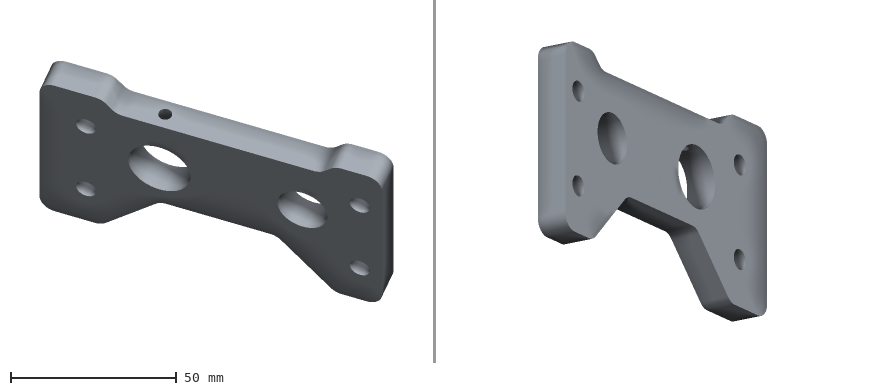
import cadquery as cq

length = 110.0
thickness = 10.0
height = 60.0
half_length = length / 2
half_height = height / 2

upper_recess_depth = 5.0
lower_recess_depth = 18.9
left_foot_width = 19.8
right_foot_width = 15.0
corner_radius = 5.0

mount_diameter = 6.5
mount_left_x = -40.0
mount_right_x = 48.0
mount_offset_z = 15.0

bore_z = 5.0
large_bore_x = -16.5
large_bore_diameter = 20.0
small_bore_x = 29.5
small_bore_diameter = 16.1
cross_hole_diameter = 4.2


def make_plate():
    """Rounded plate with a sloped recess in each long edge."""
    left_foot_x = -half_length + left_foot_width
    right_foot_x = half_length - right_foot_width
    upper_recess_z = half_height - upper_recess_depth
    lower_recess_z = -half_height + lower_recess_depth
    outline = [
        (-half_length, -half_height),
        (left_foot_x, -half_height),
        (left_foot_x + lower_recess_depth, lower_recess_z),
        (right_foot_x - lower_recess_depth, lower_recess_z),
        (right_foot_x, -half_height),
        (half_length, -half_height),
        (half_length, half_height),
        (right_foot_x, half_height),
        (right_foot_x - upper_recess_depth, upper_recess_z),
        (left_foot_x + upper_recess_depth, upper_recess_z),
        (left_foot_x, half_height),
        (-half_length, half_height),
    ]
    plate = cq.Workplane("XZ").polyline(outline).close().extrude(thickness / 2, both=True)
    return plate.edges("|Y").fillet(corner_radius)


def through_holes(centres, diameter):
    """Cylinders along Y, passing through the full thickness."""
    return (
        cq.Workplane("XZ", origin=(0, thickness, 0))
        .pushPoints(centres)
        .circle(diameter / 2)
        .extrude(2 * thickness)
    )


def cross_hole():
    """Vertical cylinder from the large bore's centre up past the upper edge."""
    return (
        cq.Workplane("XY", origin=(large_bore_x, 0, bore_z))
        .circle(cross_hole_diameter / 2)
        .extrude(half_height)
    )


mount_centres = [
    (x, z)
    for x in (mount_left_x, mount_right_x)
    for z in (-mount_offset_z, mount_offset_z)
]

result = (
    make_plate()
    .cut(through_holes(mount_centres, mount_diameter))
    .cut(through_holes([(large_bore_x, bore_z)], large_bore_diameter))
    .cut(through_holes([(small_bore_x, bore_z)], small_bore_diameter))
    .cut(cross_hole())
)